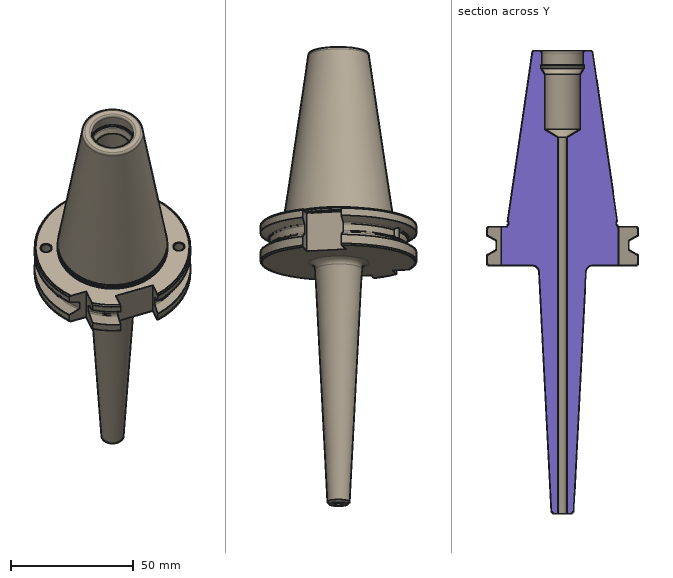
import cadquery as cq
import math


GAUGE_DIAMETER = 44.45
TAPER_RATIO = 7 / 24
TAPER_LENGTH = 68.4
TAPER_END_RADIUS = 1.0

FLANGE_DIAMETER = 63.55
FLANGE_TOP = -3.2
FLANGE_BOTTOM = -19.1
FLANGE_CHAMFER = 0.6
GROOVE_CENTRE = -10.8
GROOVE_FLOOR_WIDTH = 3.75
GROOVE_DIAMETER = 56.25
GROOVE_FLANK_ANGLE = 30
GROOVE_FILLET = 0.8

RELIEF_TOP = -1.0
RELIEF_BOTTOM = -2.6
RELIEF_DEPTH = 0.4
RELIEF_COLLAR_RADIUS = 22.5

SLOT_WIDTH = 16.1
LEFT_SLOT_FLOOR = 22.8
RIGHT_SLOT_FLOOR = 25.0
NOTCH_X = 18.5
NOTCH_Y = -18.5

COOLANT_CIRCLE_RADIUS = 27.0
COOLANT_ANGLES = (70, 250)
COOLANT_RADIUS = 2.1
COOLANT_MOUTH_CHAMFER = 0.2
COOLANT_DEPTH = 8.6

NOSE_BOTTOM = -120.0
NOSE_TIP_RADIUS = 4.6
NOSE_TOP_RADIUS = 9.6
NOSE_FILLET = 2.7
NOSE_CHAMFER = 0.9

DRILL_POINT_ANGLE = 118
DRILL_POINT_SLOPE = math.tan(math.radians(DRILL_POINT_ANGLE / 2))

BORE_MOUTH_RADIUS = 9.4
COUNTERBORE_RADIUS = 8.4
COUNTERBORE_DEPTH = 7.6
BORE_RELIEF_TOP = 5.7
BORE_RELIEF_DEPTH = 0.4
CENTRE_ANGLE = 60
THREAD_CORE_RADIUS = 7.2
THREAD_DEPTH = 32.0
THROUGH_HOLE_RADIUS = 1.75


def taper_radius(z):
    return (GAUGE_DIAMETER - z * TAPER_RATIO) / 2


def make_body():
    flange_radius = FLANGE_DIAMETER / 2
    groove_radius = GROOVE_DIAMETER / 2
    relief_radius = taper_radius(RELIEF_TOP) - RELIEF_DEPTH
    floor_half = GROOVE_FLOOR_WIDTH / 2
    flank_angle = math.radians(GROOVE_FLANK_ANGLE)
    flank_slope = math.tan(flank_angle)
    tangent_length = GROOVE_FILLET * math.tan((math.pi / 2 - flank_angle) / 2)
    flat_half = floor_half - tangent_length
    flank_half = floor_half + tangent_length * math.sin(flank_angle)
    flank_radius = groove_radius + tangent_length * math.cos(flank_angle)
    mouth_half = floor_half + (flange_radius - groove_radius) * flank_slope
    round_z = TAPER_LENGTH - TAPER_END_RADIUS
    return (
        cq.Workplane("XZ")
        .moveTo(0, TAPER_LENGTH)
        .lineTo(taper_radius(round_z) - TAPER_END_RADIUS, TAPER_LENGTH)
        .radiusArc((taper_radius(round_z), round_z), TAPER_END_RADIUS)
        .lineTo(taper_radius(RELIEF_TOP), RELIEF_TOP)
        .lineTo(relief_radius, RELIEF_TOP - RELIEF_DEPTH)
        .lineTo(relief_radius, RELIEF_BOTTOM + RELIEF_DEPTH)
        .lineTo(RELIEF_COLLAR_RADIUS, RELIEF_BOTTOM)
        .lineTo(RELIEF_COLLAR_RADIUS, FLANGE_TOP)
        .lineTo(flange_radius - FLANGE_CHAMFER, FLANGE_TOP)
        .lineTo(flange_radius, FLANGE_TOP - FLANGE_CHAMFER)
        .lineTo(flange_radius, GROOVE_CENTRE + mouth_half)
        .lineTo(flank_radius, GROOVE_CENTRE + flank_half)
        .radiusArc((groove_radius, GROOVE_CENTRE + flat_half), -GROOVE_FILLET)
        .lineTo(groove_radius, GROOVE_CENTRE - flat_half)
        .radiusArc((flank_radius, GROOVE_CENTRE - flank_half), -GROOVE_FILLET)
        .lineTo(flange_radius, GROOVE_CENTRE - mouth_half)
        .lineTo(flange_radius, FLANGE_BOTTOM + FLANGE_CHAMFER)
        .lineTo(flange_radius - FLANGE_CHAMFER, FLANGE_BOTTOM)
        .lineTo(NOSE_TOP_RADIUS + NOSE_FILLET, FLANGE_BOTTOM)
        .radiusArc((NOSE_TOP_RADIUS, FLANGE_BOTTOM - NOSE_FILLET), -NOSE_FILLET)
        .lineTo(NOSE_TIP_RADIUS, NOSE_BOTTOM + NOSE_CHAMFER)
        .lineTo(NOSE_TIP_RADIUS - NOSE_CHAMFER, NOSE_BOTTOM)
        .lineTo(0, NOSE_BOTTOM)
        .close()
        .revolve(360, (0, 0, 0), (0, 1, 0))
    )


def make_bore():
    relief_z = TAPER_LENGTH - BORE_RELIEF_TOP
    relief_radius = COUNTERBORE_RADIUS + BORE_RELIEF_DEPTH
    counterbore_z = TAPER_LENGTH - COUNTERBORE_DEPTH
    centre_slope = math.tan(math.radians(CENTRE_ANGLE / 2))
    centre_z = counterbore_z - (COUNTERBORE_RADIUS - THREAD_CORE_RADIUS) / centre_slope
    thread_z = TAPER_LENGTH - THREAD_DEPTH
    mouth_radius = BORE_MOUTH_RADIUS - COUNTERBORE_RADIUS
    point_height = (THREAD_CORE_RADIUS - THROUGH_HOLE_RADIUS) / DRILL_POINT_SLOPE
    return (
        cq.Workplane("XZ")
        .moveTo(0, TAPER_LENGTH)
        .lineTo(BORE_MOUTH_RADIUS, TAPER_LENGTH)
        .radiusArc((COUNTERBORE_RADIUS, TAPER_LENGTH - mouth_radius), -mouth_radius)
        .lineTo(COUNTERBORE_RADIUS, relief_z)
        .lineTo(relief_radius, relief_z - BORE_RELIEF_DEPTH)
        .lineTo(relief_radius, counterbore_z + BORE_RELIEF_DEPTH)
        .lineTo(COUNTERBORE_RADIUS, counterbore_z)
        .lineTo(THREAD_CORE_RADIUS, centre_z)
        .lineTo(THREAD_CORE_RADIUS, thread_z)
        .lineTo(THROUGH_HOLE_RADIUS, thread_z - point_height)
        .lineTo(THROUGH_HOLE_RADIUS, NOSE_BOTTOM)
        .lineTo(0, NOSE_BOTTOM)
        .close()
        .revolve(360, (0, 0, 0), (0, 1, 0))
    )


def flange_cutter(x_start, x_end, y_start, y_end):
    """Box through the full flange thickness."""
    thickness = FLANGE_TOP - FLANGE_BOTTOM
    return (
        cq.Workplane("XY", origin=(x_start, y_start, FLANGE_BOTTOM))
        .box(x_end - x_start, y_end - y_start, thickness, centered=False)
    )


def cut_flange_recesses(body):
    outside = FLANGE_DIAMETER
    half_width = SLOT_WIDTH / 2
    left_slot = flange_cutter(-outside, -LEFT_SLOT_FLOOR, -half_width, half_width)
    right_slot = flange_cutter(RIGHT_SLOT_FLOOR, outside, -half_width, half_width)
    notch = flange_cutter(NOTCH_X, outside, -outside, NOTCH_Y)
    return body.cut(left_slot).cut(right_slot).cut(notch)


def make_coolant_hole():
    """Blind drilled hole with a chamfered mouth, on the Z axis and starting at the flange top."""
    floor_z = FLANGE_TOP - COOLANT_DEPTH
    return (
        cq.Workplane("XZ")
        .moveTo(0, FLANGE_TOP)
        .lineTo(COOLANT_RADIUS + COOLANT_MOUTH_CHAMFER, FLANGE_TOP)
        .lineTo(COOLANT_RADIUS, FLANGE_TOP - COOLANT_MOUTH_CHAMFER)
        .lineTo(COOLANT_RADIUS, floor_z)
        .lineTo(0, floor_z - COOLANT_RADIUS / DRILL_POINT_SLOPE)
        .close()
        .revolve(360, (0, 0, 0), (0, 1, 0))
    )


def cut_coolant_holes(body):
    hole = make_coolant_hole().translate((COOLANT_CIRCLE_RADIUS, 0, 0))
    for angle in COOLANT_ANGLES:
        body = body.cut(hole.rotate((0, 0, 0), (0, 0, 1), angle))
    return body


body = make_body().cut(make_bore())
body = cut_flange_recesses(body)
result = cut_coolant_holes(body)